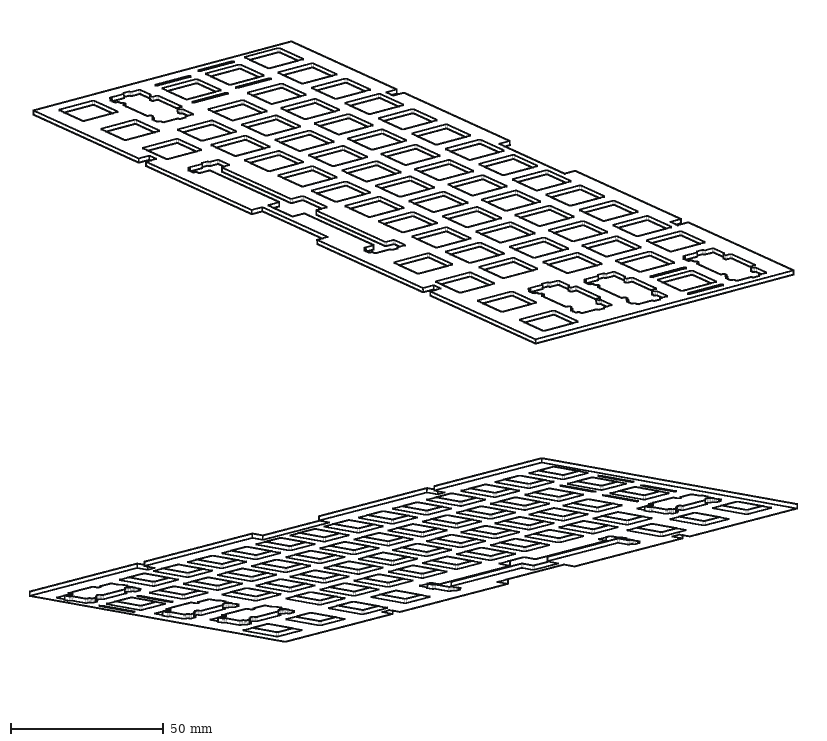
import cadquery as cq

PLATE_LENGTH = 285.8
PLATE_WIDTH = 103.7
THICKNESS = 1.51
TILT = 2.0

ROWS = [
    [1] * 13 + [2],
    [1.5] + [1] * 12 + [1.5],
    [1.75] + [1] * 11 + [2.25],
    [2.25] + [1] * 10 + [2.75],
    [1.25] * 3 + [6.25] + [1.25] * 4,
]
PITCH = PLATE_LENGTH / sum(ROWS[0])

SWITCH_SIDE = 14.0
SWITCH_CORNER = 0.5

STABILIZED_UNITS = 2
SPACEBAR_UNITS = 6.25
STAB_OFFSET = 12.0
SPACEBAR_STAB_OFFSET = 50.0
STAB_CORNER = 0.37

LINK_TOP = 5.0
LINK_BOTTOM = -5.7
SPACEBAR_LINK_TOP = 2.3
SPACEBAR_LINK_BOTTOM = -SPACEBAR_LINK_TOP

BODY_STEP = 0.8
BODY_WIDTH = 6.5
BODY_TOP = LINK_TOP + BODY_STEP
BODY_BOTTOM = LINK_BOTTOM - BODY_STEP
FOOT_WIDTH = 3.1
FOOT_DEPTH = 1.1
CLIP_REACH = 1.0
CLIP_TOP = 2.15
CLIP_BOTTOM = -0.51

SLOTTED_UNITS = (1.5, 1.75)
SLOT_OFFSET = 10.5
SLOT_WIDTH = 1.1
SLOT_LENGTH = SWITCH_SIDE
SLOT_CORNER = 0.5

NOTCH_DEPTH = 4.3
SMALL_NOTCH_WIDTH = 4.0
SMALL_NOTCH_OFFSET = 81.0
MIDDLE_NOTCH_WIDTH = 37.1


def block(x_min, x_max, y_min, y_max):
    """Cutting block through the whole plate between the given limits."""
    return (
        cq.Workplane("XY")
        .box(x_max - x_min, y_max - y_min, 2 * THICKNESS)
        .translate(((x_min + x_max) / 2, (y_min + y_max) / 2, 0))
    )


def centred_block(x, y, width, length):
    return block(x - width / 2, x + width / 2, y - length / 2, y + length / 2)


def round_corners(cutter, radius):
    return cutter.edges("|Z").fillet(radius)


def switch_cutter(x, y):
    return centred_block(x, y, SWITCH_SIDE, SWITCH_SIDE)


def side_slots_cutter(x, y):
    """Pair of slim slots, one on each side of the key."""
    left = centred_block(x - SLOT_OFFSET, y, SLOT_WIDTH, SLOT_LENGTH)
    right = centred_block(x + SLOT_OFFSET, y, SLOT_WIDTH, SLOT_LENGTH)
    return round_corners(left.union(right), SLOT_CORNER)


def stabilizer_opening(x, y, side):
    """One stabilizer opening; its clip recess points to the given side."""
    half_body = BODY_WIDTH / 2
    half_foot = FOOT_WIDTH / 2
    clip_start, clip_end = sorted((x, x + side * (half_body + CLIP_REACH)))
    body = block(x - half_body, x + half_body, y + BODY_BOTTOM, y + BODY_TOP)
    foot = block(x - half_foot, x + half_foot, y + BODY_BOTTOM - FOOT_DEPTH, y)
    clip = block(clip_start, clip_end, y + CLIP_BOTTOM, y + CLIP_TOP)
    return body.union(foot).union(clip)


def stabilized_cutter(x, y, offset, link_bottom, link_top):
    """Switch cutout joined by a straight link to a stabilizer opening on each side."""
    cutter = switch_cutter(x, y).union(block(x - offset, x + offset, y + link_bottom, y + link_top))
    for side in (-1, 1):
        cutter = cutter.union(stabilizer_opening(x + side * offset, y, side))
    return round_corners(cutter, STAB_CORNER)


def key_cutter(units, x, y):
    """Everything removed for one key of the given width."""
    if units == SPACEBAR_UNITS:
        return stabilized_cutter(x, y, SPACEBAR_STAB_OFFSET, SPACEBAR_LINK_BOTTOM, SPACEBAR_LINK_TOP)
    if units >= STABILIZED_UNITS:
        return stabilized_cutter(x, y, STAB_OFFSET, LINK_BOTTOM, LINK_TOP)
    cutter = round_corners(switch_cutter(x, y), SWITCH_CORNER)
    if units in SLOTTED_UNITS:
        cutter = cutter.union(side_slots_cutter(x, y))
    return cutter


def edge_notch(x, width, side):
    """Notch in the rear (side 1) or front (side -1) edge."""
    return centred_block(x, side * PLATE_WIDTH / 2, width, 2 * NOTCH_DEPTH)


cutters = []
for side in (-1, 1):
    cutters.append(edge_notch(0, MIDDLE_NOTCH_WIDTH, side))
    for x in (-SMALL_NOTCH_OFFSET, SMALL_NOTCH_OFFSET):
        cutters.append(edge_notch(x, SMALL_NOTCH_WIDTH, side))

for row_index, row in enumerate(ROWS):
    row_y = ((len(ROWS) - 1) / 2 - row_index) * PITCH
    key_left = -PLATE_LENGTH / 2
    for units in row:
        key_width = units * PITCH
        cutters.append(key_cutter(units, key_left + key_width / 2, row_y))
        key_left += key_width

all_cutters = cq.Compound.makeCompound([solid for cutter in cutters for solid in cutter.solids().vals()])
plate = cq.Workplane("XY").box(PLATE_LENGTH, PLATE_WIDTH, THICKNESS).cut(cq.Workplane(obj=all_cutters))

result = plate.rotate((0, 0, 0), (1, 0, 0), TILT)